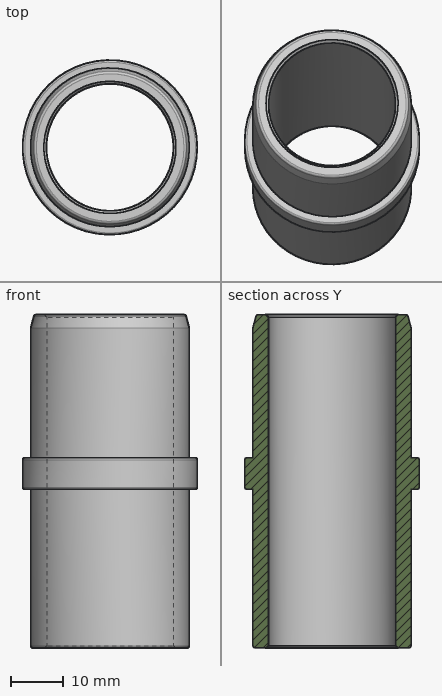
import cadquery as cq
import math

length = 63.0
tube_radius = 15.0
bore_radius = 12.0

collar_radius = 16.5
collar_bottom = 30.0
collar_height = 6.0

lead_in_height = 2.5
lead_in_angle = 15.0
lead_in_inset = lead_in_height * math.tan(math.radians(lead_in_angle))
rim_round = 0.5
collar_round = 0.4
bore_chamfer = 0.5


def tube_body():
    """Plain cylinder with a rounded lower rim and a tapered, rounded upper end."""
    straight_height = length - lead_in_height
    straight = cq.Workplane("XY").circle(tube_radius).extrude(straight_height)
    straight = straight.faces("<Z").edges().fillet(rim_round)
    lead_in = (
        cq.Workplane("XY", origin=(0, 0, straight_height))
        .circle(tube_radius)
        .workplane(offset=lead_in_height)
        .circle(tube_radius - lead_in_inset)
        .loft()
        .faces(">Z")
        .edges()
        .fillet(rim_round)
    )
    return straight.union(lead_in)


def collar():
    """Raised ring with both outer rims rounded."""
    ring = cq.Workplane("XY", origin=(0, 0, collar_bottom)).circle(collar_radius).extrude(collar_height)
    return ring.edges().fillet(collar_round)


def bore():
    """Through hole, chamfered at both mouths."""
    hole = cq.Workplane("XY").circle(bore_radius).extrude(length)
    mouth_radius = bore_radius + bore_chamfer
    lower_mouth = cq.Solid.makeCone(mouth_radius, bore_radius, bore_chamfer)
    upper_mouth = cq.Solid.makeCone(
        bore_radius, mouth_radius, bore_chamfer, cq.Vector(0, 0, length - bore_chamfer)
    )
    return hole.union(lower_mouth).union(upper_mouth)


result = tube_body().union(collar()).cut(bore())